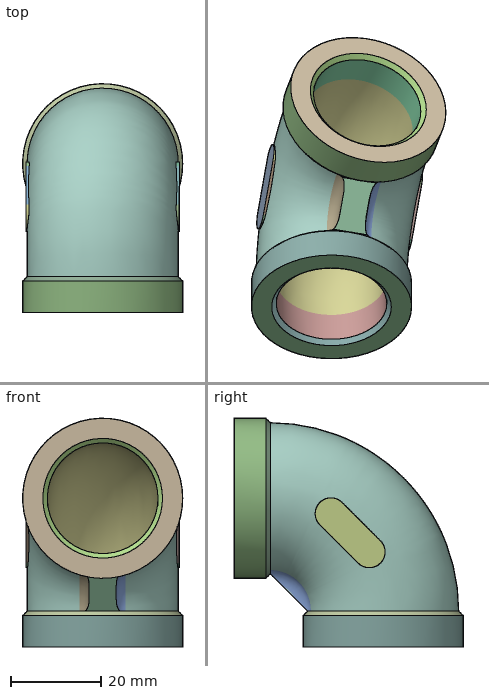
import cadquery as cq
import math

bend_angle = 90.0
bend_radius = 25.0
body_radius = 16.75
bore_radius = 12.25
collar_radius = 17.75
collar_length = 8.0
collar_chamfer = collar_radius - body_radius
mouth_chamfer = 1.0

web_half_width = 3.0
web_fillet = 3.0

pad_reach = 17.0
pad_radius = 3.5
pad_length = 19.0
pad_drop = 0.33

face_distance = bend_radius + collar_length


def facing_minus_y(port):
    """Turn a -Z port feature to the -Y port."""
    return port.rotate((0, 0, 0), (1, 0, 0), -bend_angle)


def revolve_about_bend(section):
    """Turn a section, drawn on the plane Z = -bend_radius, into the quarter bend."""
    return section.revolve(bend_angle, (0, -bend_radius), (1, -bend_radius))


def bend(radius):
    """Quarter torus of the given tube radius joining the two ports."""
    section = cq.Workplane("XY", origin=(0, 0, -bend_radius)).circle(radius)
    return revolve_about_bend(section)


def collar():
    """Thick rim of the -Z port, chamfered down to the tube."""
    return (
        cq.Workplane("XY", origin=(0, 0, -face_distance))
        .circle(collar_radius)
        .extrude(collar_length)
        .faces(">Z")
        .chamfer(collar_chamfer)
    )


def port_bore():
    """Straight bore of the -Z port with a countersunk mouth."""
    mouth_radius = bore_radius + mouth_chamfer
    profile = (
        cq.Workplane("XZ")
        .moveTo(0, -face_distance)
        .lineTo(mouth_radius, -face_distance)
        .lineTo(bore_radius, -face_distance + mouth_chamfer)
        .lineTo(bore_radius, -bend_radius)
        .lineTo(0, -bend_radius)
        .close()
    )
    return profile.revolve(360, (0, 0), (0, 1))


def web():
    """Filleted web in the crook of the bend, cut flat at 45 degrees."""
    centre_x = web_half_width + web_fillet
    centre_distance = body_radius + web_fillet
    centre_y = -math.sqrt(centre_distance**2 - centre_x**2)
    tube_x = centre_x * body_radius / centre_distance
    tube_y = centre_y * body_radius / centre_distance
    tube_angle = math.atan2(-centre_y, -centre_x)
    middle_angle = (math.pi + tube_angle) / 2
    middle_x = centre_x + web_fillet * math.cos(middle_angle)
    middle_y = centre_y + web_fillet * math.sin(middle_angle)
    root_y = -(body_radius + bore_radius) / 2
    tip_y = -bend_radius

    section = (
        cq.Workplane("XY", origin=(0, 0, -bend_radius))
        .moveTo(-web_half_width, tip_y)
        .lineTo(web_half_width, tip_y)
        .lineTo(web_half_width, centre_y)
        .threePointArc((middle_x, middle_y), (tube_x, tube_y))
        .lineTo(tube_x, root_y)
        .lineTo(-tube_x, root_y)
        .lineTo(-tube_x, tube_y)
        .threePointArc((-middle_x, middle_y), (-web_half_width, centre_y))
        .close()
    )
    crook = (
        cq.Workplane("YZ")
        .moveTo(-bend_radius, -bend_radius)
        .lineTo(-body_radius, -bend_radius)
        .lineTo(-bend_radius, -body_radius)
        .close()
        .extrude(body_radius, both=True)
    )
    return revolve_about_bend(section).cut(crook)


def pads():
    """Rounded bar along X whose two ends stand proud of the flanks as flat pads."""
    middle = bend_radius * (1 - math.cos(math.radians(bend_angle / 2)))
    return (
        cq.Workplane("YZ", origin=(0, -middle, -middle - pad_drop))
        .transformed(rotate=(0, 0, -bend_angle / 2))
        .slot2D(pad_length, 2 * pad_radius)
        .extrude(pad_reach, both=True)
    )


outside = bend(body_radius).union(web()).union(pads())
outside = outside.union(collar()).union(facing_minus_y(collar()))

passage = bend(bore_radius).union(port_bore()).union(facing_minus_y(port_bore()))

result = outside.cut(passage)